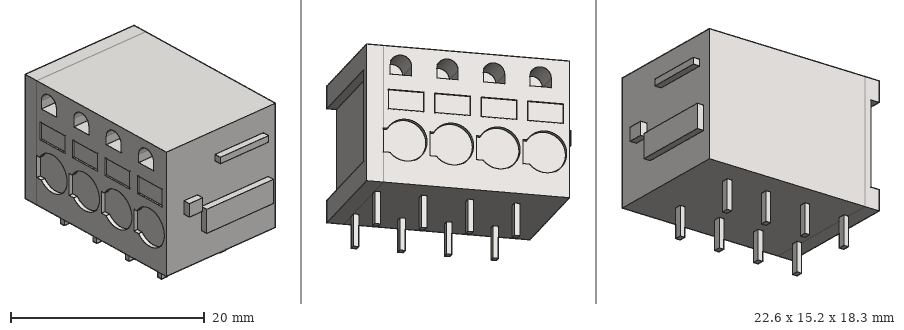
import cadquery as cq


POLE_COUNT = 4
POLE_PITCH = 5.0
END_WALL = 1.8
PEG_LENGTH = 0.81
DEPTH = 15.2
HEIGHT = 14.82
HOUSING_WIDTH = END_WALL + POLE_COUNT * POLE_PITCH

RECESS_DEPTH = 1.05
RECESS_FRONT = 1.22
RECESS_BOTTOM = 2.45
RECESS_TOP = 12.35

ARCH_RADIUS = 1.15
ARCH_CENTER_X = 1.88
ARCH_CENTER_Z = 12.76
ARCH_SILL_Z = 11.77
ARCH_DEPTH = 3.4

LABEL_X = 0.52
LABEL_WIDTH = 3.82
LABEL_BOTTOM = 8.0
LABEL_HEIGHT = 2.1
LABEL_DEPTH = 0.23

ENTRY_RADIUS = 2.26
ENTRY_CENTER_X = 2.42
ENTRY_CENTER_Z = 4.75
ENTRY_DEPTH = 0.5
NOTCH_BOTTOM = 3.28
NOTCH_TOP = 5.88

LOWER_RIB = (4.89, 14.2, 3.6, 6.47)
UPPER_RIB = (6.8, 13.5, 11.18, 11.95)
FRONT_PEG = (2.47, 4.32, 6.47, 8.08)

OVERALL_HEIGHT = 18.3
PIN_WIDTH = 0.59
PIN_THICKNESS = 0.84
PIN_LENGTH = OVERALL_HEIGHT - HEIGHT
PIN_ROW_FRONT = 3.3
PIN_ROW_SPACING = 8.17
PIN_ROWS = (PIN_ROW_FRONT, PIN_ROW_FRONT + PIN_ROW_SPACING)

POLE_STARTS = [END_WALL + pole * POLE_PITCH for pole in range(POLE_COUNT)]


def box(left, right, front, back, bottom, top):
    """Box given by the positions of its six sides."""
    size = (right - left, back - front, top - bottom)
    return cq.Workplane("XY").box(*size, centered=False).translate((left, front, bottom))


def front_sketch():
    """Workplane on the front face; a negative extrusion goes into the housing."""
    return cq.Workplane("XZ")


def release_opening(pole_x):
    center_x = pole_x + ARCH_CENTER_X
    left = center_x - ARCH_RADIUS
    right = center_x + ARCH_RADIUS
    return (
        front_sketch()
        .moveTo(left, ARCH_SILL_Z)
        .lineTo(right, ARCH_SILL_Z)
        .lineTo(right, ARCH_CENTER_Z)
        .threePointArc((center_x, ARCH_CENTER_Z + ARCH_RADIUS), (left, ARCH_CENTER_Z))
        .close()
        .extrude(-ARCH_DEPTH)
    )


def label_recess(pole_x):
    left = pole_x + LABEL_X
    return box(left, left + LABEL_WIDTH, 0, LABEL_DEPTH, LABEL_BOTTOM, LABEL_BOTTOM + LABEL_HEIGHT)


def wire_entry(pole_x):
    center_x = pole_x + ENTRY_CENTER_X
    disc = front_sketch().center(center_x, ENTRY_CENTER_Z).circle(ENTRY_RADIUS).extrude(-ENTRY_DEPTH)
    notch = box(pole_x, center_x, 0, ENTRY_DEPTH, NOTCH_BOTTOM, NOTCH_TOP)
    return disc.union(notch)


def end_wall():
    wall = box(0, END_WALL, 0, DEPTH, 0, HEIGHT)
    recess = box(0, RECESS_DEPTH, RECESS_FRONT, DEPTH, RECESS_BOTTOM, RECESS_TOP)
    return wall.cut(recess)


def pole_block():
    block = box(END_WALL, HOUSING_WIDTH, 0, DEPTH, 0, HEIGHT)
    for pole_x in POLE_STARTS:
        block = block.cut(release_opening(pole_x))
        block = block.cut(label_recess(pole_x))
        block = block.cut(wire_entry(pole_x))
    for peg in (LOWER_RIB, UPPER_RIB, FRONT_PEG):
        block = block.union(box(HOUSING_WIDTH, HOUSING_WIDTH + PEG_LENGTH, *peg))
    return block


def make_housing():
    return pole_block().union(end_wall(), clean=False)


def make_pin(pole_x, row_y):
    return box(pole_x, pole_x + PIN_WIDTH, row_y, row_y + PIN_THICKNESS, -PIN_LENGTH, 0)


housing = make_housing()
pins = [make_pin(pole_x, row_y) for pole_x in POLE_STARTS for row_y in PIN_ROWS]

result = cq.Compound.makeCompound([housing.solids().val(), *[pin.val() for pin in pins]])